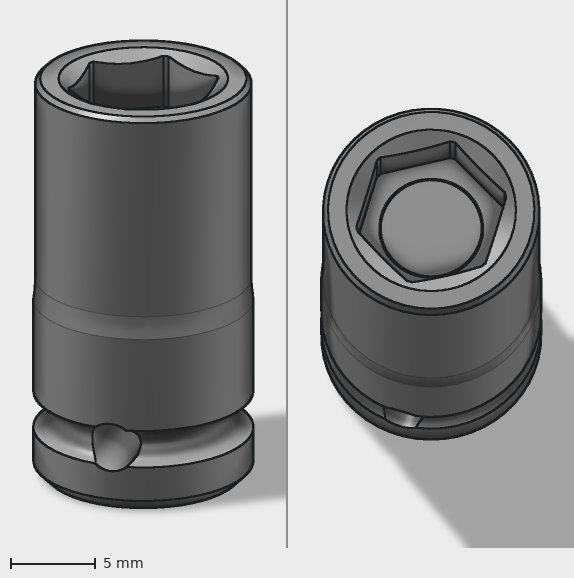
import cadquery as cq
import math

height = 25.0
drive_radius = 6.5
drive_end_z = 11.0
bottom_chamfer = 0.75

nut_end_radius = 6.39
blend_radius = 9.0
blend_step = drive_radius - nut_end_radius
blend_height = math.sqrt(blend_radius**2 - (blend_radius - blend_step) ** 2)
top_chamfer_width = 0.3
top_chamfer_height = 0.3

groove_z = 4.03
groove_height = 2.3
groove_depth = 1.0
cross_hole_diameter = 3.0

hex_across_flats = 7.95
hex_corner_diameter = 9.0
hex_depth = 3.5
lead_in_radius = 5.0
lead_in_angle = 30.0

magnet_radius = 2.98
magnet_thickness = 3.0
magnet_gap = 0.08
hex_floor_z = height - hex_depth
magnet_bottom_z = hex_floor_z - magnet_thickness


def outer_body():
    """Revolved outside of the socket, with the groove, blend and end chamfers."""
    half_groove = groove_height / 2
    blend_middle_angle = math.asin(blend_height / blend_radius) / 2
    blend_middle = (
        nut_end_radius + blend_radius * (1 - math.cos(blend_middle_angle)),
        drive_end_z + blend_height - blend_radius * math.sin(blend_middle_angle),
    )
    return (
        cq.Workplane("XZ")
        .moveTo(0, 0)
        .lineTo(drive_radius - bottom_chamfer, 0)
        .lineTo(drive_radius, bottom_chamfer)
        .lineTo(drive_radius, groove_z - half_groove)
        .threePointArc(
            (drive_radius - groove_depth, groove_z),
            (drive_radius, groove_z + half_groove),
        )
        .lineTo(drive_radius, drive_end_z)
        .threePointArc(blend_middle, (nut_end_radius, drive_end_z + blend_height))
        .lineTo(nut_end_radius, height - top_chamfer_height)
        .lineTo(nut_end_radius - top_chamfer_width, height)
        .lineTo(0, height)
        .close()
        .revolve(360, (0, 0, 0), (0, 1, 0))
    )


def cross_hole():
    """Pin hole along Y through the middle of the groove."""
    return (
        cq.Workplane("XZ")
        .center(0, groove_z)
        .circle(cross_hole_diameter / 2)
        .extrude(drive_radius, both=True)
    )


def hex_recess():
    """Hexagon with two corners on the Y axis, all corners trimmed by a round bore."""
    floor = cq.Workplane("XY", origin=(0, 0, hex_floor_z))
    hexagon = floor.polygon(6, hex_across_flats, circumscribed=True).extrude(hex_depth)
    corner_bore = floor.circle(hex_corner_diameter / 2).extrude(hex_depth)
    return hexagon.intersect(corner_bore)


def lead_in():
    """Cone that opens the hexagon towards the top face."""
    cone_height = lead_in_radius * math.tan(math.radians(lead_in_angle))
    return (
        cq.Workplane("XZ")
        .moveTo(0, height)
        .lineTo(lead_in_radius, height)
        .lineTo(0, height - cone_height)
        .close()
        .revolve(360, (0, 0, 0), (0, 1, 0))
    )


def magnet_disc(radius):
    """Disc below the hexagon floor, used for the magnet and for its seat."""
    return cq.Workplane("XY", origin=(0, 0, magnet_bottom_z)).circle(radius).extrude(magnet_thickness)


magnet = magnet_disc(magnet_radius)
socket = (
    outer_body()
    .cut(cross_hole())
    .cut(hex_recess())
    .cut(lead_in())
    .cut(magnet_disc(magnet_radius + magnet_gap))
)

result = cq.Compound.makeCompound([socket.val(), magnet.val()])